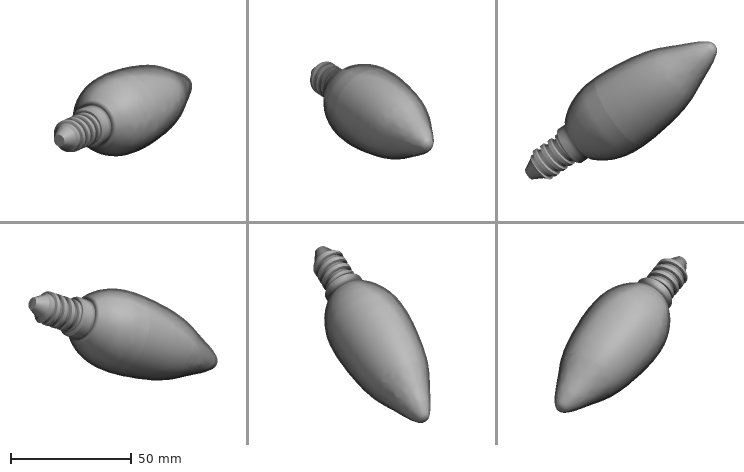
import cadquery as cq
import math

length = 99.0
bulb_radius = 17.5
bulb_widest_height = 49.0
bulb_base_height = 26.9
rim_inner_radius = 9.3
rim_round = 1.6
rim_angle = 48.0
collar_radius = 8.5
collar_height = 5.9
collar_chamfer = 0.8
core_radius = 5.8
contact_height = 4.9
contact_base_radius = 5.0
contact_tip_radius = 2.6

thread_radius = 7.0
thread_pitch = 4.0
thread_crest_width = 1.6
thread_root_width = 3.4
run_out_clearance = 1.0
thread_overlap = 2.0
thread_phase_height = 14.5

collar_bottom = bulb_base_height - collar_height
collar_middle = bulb_base_height - collar_height / 2

lower_glass = [(15.2, 35.0), (16.7, 39.8)]
upper_glass = [(16.7, 59.4), (14.9, 70.3), (12.6, 77.9), (9.3, 85.1), (5.9, 92.8), (3.1, 97.5)]


def turned(profile):
    """Turn a closed radius-height profile about the Y axis, centred along Y."""
    return profile.close().revolve(360, (0, 0, 0), (0, 1, 0)).translate((0, -length / 2, 0))


def make_glass():
    slope = math.radians(rim_angle)

    def rim_point(turn):
        return (
            rim_inner_radius + rim_round * math.sin(turn),
            bulb_base_height + rim_round * (1 - math.cos(turn)),
        )

    profile = (
        cq.Workplane("XY")
        .moveTo(0, bulb_base_height)
        .lineTo(rim_inner_radius, bulb_base_height)
        .threePointArc(rim_point(slope / 2), rim_point(slope))
        .spline(
            lower_glass + [(bulb_radius, bulb_widest_height)],
            tangents=[(math.cos(slope), math.sin(slope)), (0, 1)],
            includeCurrent=True,
        )
        .spline(upper_glass + [(0, length)], tangents=[(0, 1), (-1, 0)], includeCurrent=True)
    )
    return turned(profile)


def make_base():
    profile = cq.Workplane("XY").polyline([
        (0, 0),
        (contact_tip_radius, 0),
        (contact_base_radius, contact_height),
        (core_radius, contact_height + core_radius - contact_base_radius),
        (core_radius, collar_bottom),
        (collar_radius - collar_chamfer, collar_bottom),
        (collar_radius, collar_bottom + collar_chamfer),
        (collar_radius, bulb_base_height),
        (0, bulb_base_height),
    ])
    return turned(profile)


def make_thread():
    """Right-handed thread, run out by a 45 degree cone below and by the collar above."""
    first_height = thread_phase_height - 3 * thread_pitch
    thread_length = collar_middle - first_height - thread_root_width / 2
    root_radius = core_radius - thread_overlap
    helix = cq.Wire.makeHelix(thread_pitch, thread_length, root_radius)
    ridge = (
        cq.Workplane("XZ")
        .polyline([
            (root_radius, -thread_root_width / 2),
            (thread_radius, -thread_crest_width / 2),
            (thread_radius, thread_crest_width / 2),
            (root_radius, thread_root_width / 2),
        ])
        .close()
        .sweep(cq.Workplane(obj=helix), isFrenet=True)
        .rotate((0, 0, 0), (0, 0, 1), 180)
        .rotate((0, 0, 0), (1, 0, 0), -90)
        .translate((0, first_height - length / 2, 0))
    )
    envelope_radius = thread_radius + run_out_clearance
    run_out = cq.Workplane("XY").polyline([
        (0, contact_height),
        (contact_base_radius, contact_height),
        (envelope_radius, contact_height + envelope_radius - contact_base_radius),
        (envelope_radius, collar_middle),
        (0, collar_middle),
    ])
    return ridge.intersect(turned(run_out))


result = make_glass().union(make_base()).union(make_thread())